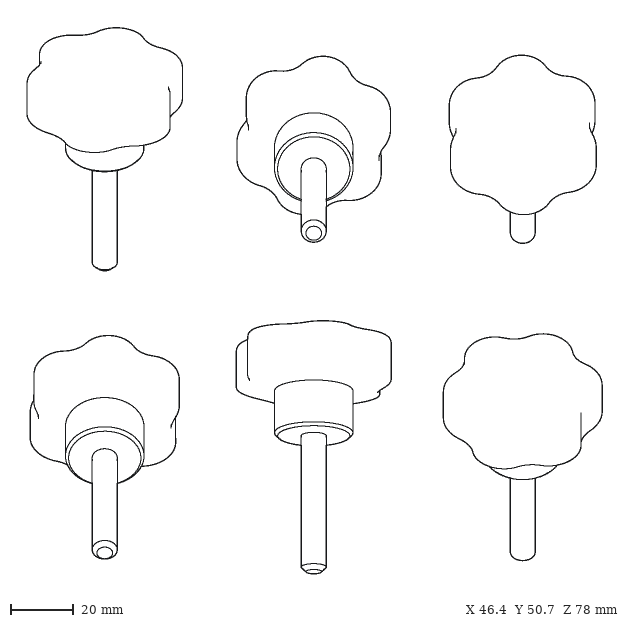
import cadquery as cq
import math

LOBES = 6
HEAD_DIAMETER = 50.7
LOBE_CENTRE_RADIUS = 16.0
HOLLOW_RADIUS = 7.5
DOME_RADIUS = 175.0
HEAD_HEIGHT = 18.1
UNDERSIDE_FLAT_DIAMETER = 35.5
UNDERSIDE_ANGLE = 15.0
BLANK_MARGIN = 1.0
TOP_FILLET = 2.0
BOTTOM_FILLET = 0.8

HUB_DIAMETER = 25.0
HUB_CHAMFER = 1.0
STUD_DIAMETER = 8.0
STUD_LENGTH = 45.0
STUD_CHAMFER = 1.5
TOTAL_HEIGHT = 77.96

head_radius = HEAD_DIAMETER / 2
lobe_radius = head_radius - LOBE_CENTRE_RADIUS
half_pitch = 180 / LOBES
centre_spacing = lobe_radius + HOLLOW_RADIUS
half_chord = LOBE_CENTRE_RADIUS * math.sin(math.radians(half_pitch))
chord_distance = LOBE_CENTRE_RADIUS * math.cos(math.radians(half_pitch))
hollow_centre_radius = chord_distance + math.sqrt(centre_spacing**2 - half_chord**2)
hub_length = TOTAL_HEIGHT - HEAD_HEIGHT - STUD_LENGTH


def polar(radius, angle):
    """Point at a radius from the axis and an angle in degrees from +X."""
    return radius * math.cos(math.radians(angle)), radius * math.sin(math.radians(angle))


def tangent_point(lobe_angle, side):
    """Where a lobe meets the hollow on its side (-1 clockwise, +1 counter-clockwise)."""
    lobe_x, lobe_y = polar(LOBE_CENTRE_RADIUS, lobe_angle)
    hollow_x, hollow_y = polar(hollow_centre_radius, lobe_angle + side * half_pitch)
    share = lobe_radius / centre_spacing
    return lobe_x + share * (hollow_x - lobe_x), lobe_y + share * (hollow_y - lobe_y)


def star_prism():
    """Lobed column as tall as the head."""
    first_angle = 90
    outline = cq.Workplane("XY").workplane(offset=-HEAD_HEIGHT).moveTo(*tangent_point(first_angle, -1))
    for index in range(LOBES):
        lobe_angle = first_angle + index * 2 * half_pitch
        hollow_angle = lobe_angle + half_pitch
        next_lobe_angle = hollow_angle + half_pitch
        outline = outline.threePointArc(polar(head_radius, lobe_angle), tangent_point(lobe_angle, 1))
        hollow_floor = polar(hollow_centre_radius - HOLLOW_RADIUS, hollow_angle)
        outline = outline.threePointArc(hollow_floor, tangent_point(next_lobe_angle, -1))
    return outline.close().extrude(HEAD_HEIGHT)


def head_envelope():
    """Turned blank with a domed top and a conical underside around a flat."""
    blank_radius = head_radius + BLANK_MARGIN
    flat_radius = UNDERSIDE_FLAT_DIAMETER / 2
    cone_rise = (blank_radius - flat_radius) * math.tan(math.radians(UNDERSIDE_ANGLE))
    blank = (
        cq.Workplane("XZ")
        .moveTo(0, -HEAD_HEIGHT)
        .lineTo(flat_radius, -HEAD_HEIGHT)
        .lineTo(blank_radius, cone_rise - HEAD_HEIGHT)
        .lineTo(blank_radius, 0)
        .lineTo(0, 0)
        .close()
        .revolve(360, (0, 0, 0), (0, 1, 0))
    )
    dome_ball = cq.Workplane("XY").sphere(DOME_RADIUS).translate((0, 0, -DOME_RADIUS))
    return blank.intersect(dome_ball)


def head():
    """Lobed head with rounded upper and lower rims."""
    body = star_prism().intersect(head_envelope())
    body = body.faces("%SPHERE").edges("%BSPLINE").fillet(TOP_FILLET)
    return body.faces("%CONE").edges("%BSPLINE").fillet(BOTTOM_FILLET)


def hub():
    """Round boss under the head with a chamfered lower edge."""
    boss = cq.Workplane("XY").workplane(offset=-HEAD_HEIGHT).circle(HUB_DIAMETER / 2).extrude(-hub_length)
    return boss.faces("<Z").chamfer(HUB_CHAMFER)


def stud():
    """Plain stud with a chamfered tip."""
    start = -HEAD_HEIGHT - hub_length
    pin = cq.Workplane("XY").workplane(offset=start).circle(STUD_DIAMETER / 2).extrude(-STUD_LENGTH)
    return pin.faces("<Z").chamfer(STUD_CHAMFER)


result = head().union(hub()).union(stud())